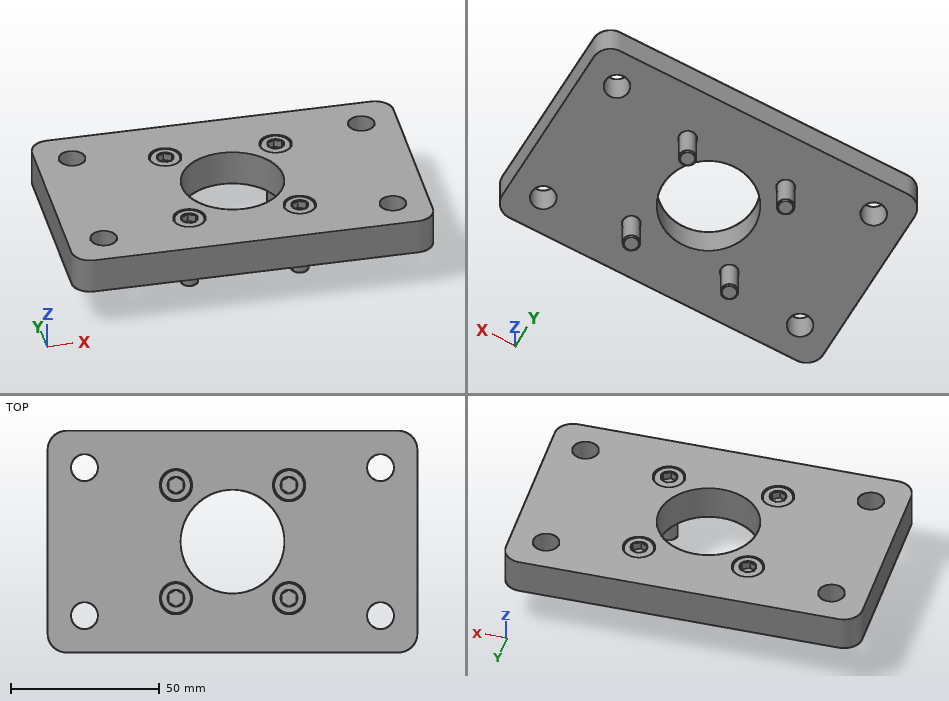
import cadquery as cq
import math

plate_length = 125.0
plate_width = 75.0
plate_thickness = 12.7
corner_radius = 6.5
bore_diameter = 35.0

mounting_hole_diameter = 9.0
mounting_spacing_x = 100.0
mounting_spacing_y = 50.0

thread_diameter = 6.0
thread_length = 20.0
tip_chamfer = 0.5
head_diameter = 10.0
head_height = 6.0
head_edge_fillet = 0.25
socket_across_flats = 5.0
socket_half_sector = 30.0
socket_across_corners = socket_across_flats / math.cos(math.radians(socket_half_sector))
socket_depth = 3.0
socket_countersink_angle = 90.0

bolt_circle_diameter = 54.0
screw_spacing = bolt_circle_diameter / math.sqrt(2)
clearance_diameter = 6.4
counterbore_diameter = 11.0
counterbore_depth = head_height

head_seat_z = plate_thickness - counterbore_depth
head_top_z = head_seat_z + head_height


def make_plate():
    """Rounded plate with a central bore, mounting holes and counterbored screw holes."""
    return (
        cq.Workplane("XY")
        .rect(plate_length, plate_width)
        .extrude(plate_thickness)
        .edges("|Z")
        .fillet(corner_radius)
        .faces(">Z")
        .workplane()
        .hole(bore_diameter)
        .faces(">Z")
        .workplane()
        .rect(mounting_spacing_x, mounting_spacing_y, forConstruction=True)
        .vertices()
        .hole(mounting_hole_diameter)
        .faces(">Z")
        .workplane()
        .rect(screw_spacing, screw_spacing, forConstruction=True)
        .vertices()
        .cboreHole(clearance_diameter, counterbore_diameter, counterbore_depth)
    )


def make_socket_cutter():
    """Hexagonal socket with a conical lead-in that meets the hexagon's corners."""
    hexagon = (
        cq.Workplane("XY", origin=(0, 0, head_top_z))
        .transformed(rotate=(0, 0, socket_half_sector))
        .polygon(6, socket_across_corners)
        .extrude(-socket_depth)
    )
    rim_radius = socket_across_corners / 2
    cone_depth = rim_radius / math.tan(math.radians(socket_countersink_angle / 2))
    lead_in = cq.Workplane(
        cq.Solid.makeCone(0, rim_radius, cone_depth, pnt=cq.Vector(0, 0, head_top_z - cone_depth))
    )
    return hexagon.union(lead_in)


def make_screw(x, y):
    """Socket head cap screw pointing down, with its axis at (x, y)."""
    shank = (
        cq.Workplane("XY", origin=(0, 0, head_seat_z))
        .circle(thread_diameter / 2)
        .extrude(-thread_length)
        .faces("<Z")
        .chamfer(tip_chamfer)
    )
    head = (
        cq.Workplane("XY", origin=(0, 0, head_seat_z))
        .circle(head_diameter / 2)
        .extrude(head_height)
        .faces(">Z")
        .edges()
        .fillet(head_edge_fillet)
    )
    return head.union(shank).cut(make_socket_cutter()).translate((x, y, 0))


plate = make_plate()

screws = []
for side_x in (-1, 1):
    for side_y in (-1, 1):
        screw = make_screw(side_x * screw_spacing / 2, side_y * screw_spacing / 2)
        screws.append(screw.val())

result = cq.Compound.makeCompound([plate.val(), *screws])